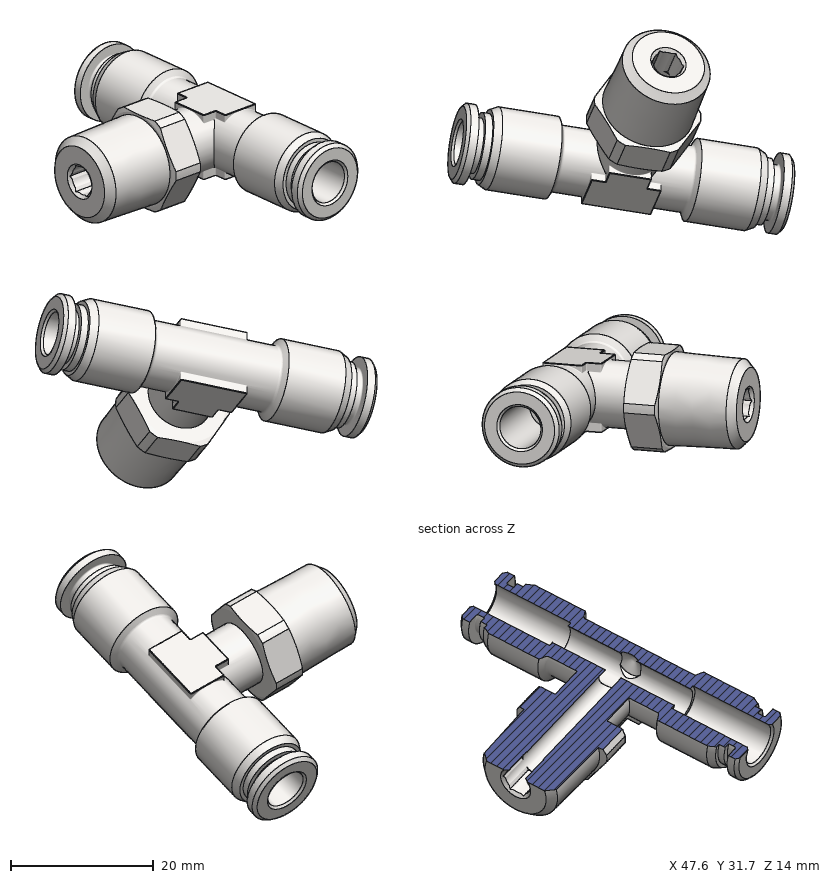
import cadquery as cq
import math


run_length = 47.6
tube_radius = 4.75
sleeve_radius = 5.9
sleeve_mouth_radius = 5.35
sleeve_root_start = 9.5
sleeve_root_fillet = 0.4
sleeve_root_full = 10.15
sleeve_mouth_full = 18.75
sleeve_mouth_end = 19.9
collar_radius = 4.75
collar_end = 20.95
neck_radius = 3.95
flange_radius = 5.7
flange_face_radius = 5.2
flange_width = 1.65
flange_chamfer = 0.48
neck_fillet = 0.25
run_bore_radius = 2.5
socket_radius = 3.05
socket_mouth_radius = 3.4
socket_mouth_depth = 0.35
socket_floor = 10.45

hex_across_flats = 14.0
hex_corner_radius = 7.7
hex_start = 9.75
hex_end = 14.7
hex_edge_chamfer = 0.2
thread_root_radius = 6.6
thread_tip_radius = 6.4
thread_face_radius = 5.25
thread_chamfer_start = 24.65
branch_end = 25.8

branch_bore_radius = 2.1
bore_mouth_radius = 2.55
bore_mouth_depth = 0.48
bore_tip_depth = 3.47
drill_half_angle = math.radians(59)
key_across_flats = 4.0
key_depth = 4.75

edge_margin = 0.05

pad_half_width = 5.05
pad_back = 2.95
pad_shoulder = -2.85
pad_stem_half_width = 3.05
pad_stem_end = -5.1
pad_top = 5.0
pad_edge_chamfer = 0.1
pad_corner_fillet = 0.15
pad_base_fillet = 0.1


def run_revolve(profile):
    """Revolve (x, radius) points about the X axis."""
    return cq.Workplane("XY").polyline(profile).close().revolve(360, (0, 0, 0), (1, 0, 0))


def branch_revolve(profile):
    """Revolve (radius, distance) points about the branch axis."""
    points = [(radius, -distance) for radius, distance in profile]
    return cq.Workplane("XY").polyline(points).close().revolve(360, (0, 0, 0), (0, 1, 0))


def branch_hexagon(across_flats, start, end):
    """Hexagonal prism on the branch axis, with flats facing up and down."""
    across_corners = across_flats / math.cos(math.pi / 6)
    plane = cq.Workplane("XZ", origin=(0, -start, 0))
    return plane.polygon(6, across_corners).extrude(end - start)


def with_mirror(half, plane):
    """Join a half with its mirror image."""
    return half.union(half.mirror(plane))


def circle_at(x, radius):
    """Selector for the circular edge of a given radius around the run axis at x."""
    reach = radius + edge_margin
    return cq.selectors.BoxSelector(
        (x - edge_margin, -reach, -reach), (x + edge_margin, reach, reach), boundingbox=True
    )


def run_arm():
    """Half of the run on the +X side: tube, sleeve, collar, neck and release flange."""
    end = run_length / 2
    flange_inner = end - flange_width
    arm = run_revolve([
        (0, 0),
        (0, tube_radius),
        (sleeve_root_start, tube_radius),
        (sleeve_root_full, sleeve_radius),
        (sleeve_mouth_full, sleeve_radius),
        (sleeve_mouth_end, sleeve_mouth_radius),
        (sleeve_mouth_end, collar_radius),
        (collar_end, collar_radius),
        (collar_end, neck_radius),
        (flange_inner, neck_radius),
        (flange_inner, flange_radius),
        (end - flange_chamfer, flange_radius),
        (end, flange_face_radius),
        (end, 0),
    ])
    arm = arm.edges(circle_at(sleeve_root_start, tube_radius)).fillet(sleeve_root_fillet)
    return arm.edges(circle_at(flange_inner, neck_radius)).fillet(neck_fillet)


def run_cavity():
    """Half of the run bore on the +X side, with its tube socket."""
    end = run_length / 2
    return run_revolve([
        (0, 0),
        (0, run_bore_radius),
        (socket_floor, run_bore_radius),
        (socket_floor, socket_radius),
        (end - socket_mouth_depth, socket_radius),
        (end, socket_mouth_radius),
        (end, 0),
    ])


def thread_body():
    """Tapered, chamfered thread body."""
    return branch_revolve([
        (0, hex_end),
        (thread_root_radius, hex_end),
        (thread_tip_radius, thread_chamfer_start),
        (thread_face_radius, branch_end),
        (0, branch_end),
    ])


def wrench_hex():
    """Wrench hexagon with turned corners and chamfered edges."""
    face_radius = hex_across_flats / 2
    turned_blank = branch_revolve([
        (0, hex_start),
        (face_radius, hex_start),
        (hex_corner_radius, hex_start + hex_edge_chamfer),
        (hex_corner_radius, hex_end - hex_edge_chamfer),
        (face_radius, hex_end),
        (0, hex_end),
    ])
    return branch_hexagon(hex_across_flats, hex_start, hex_end).intersect(turned_blank)


def branch_cavity():
    """Drilled branch bore whose conical tip passes the run bore, plus the key socket."""
    tip_length = branch_bore_radius / math.tan(drill_half_angle)
    bore = branch_revolve([
        (0, -bore_tip_depth),
        (branch_bore_radius, tip_length - bore_tip_depth),
        (branch_bore_radius, branch_end - bore_mouth_depth),
        (bore_mouth_radius, branch_end),
        (0, branch_end),
    ])
    return bore.union(branch_hexagon(key_across_flats, branch_end - key_depth, branch_end))


def label_pad():
    """T-shaped pad rising from the middle of the fitting to the upper label face."""
    return (
        cq.Workplane("XY")
        .polyline([
            (-pad_half_width, pad_back),
            (pad_half_width, pad_back),
            (pad_half_width, pad_shoulder),
            (pad_stem_half_width, pad_shoulder),
            (pad_stem_half_width, pad_stem_end),
            (-pad_stem_half_width, pad_stem_end),
            (-pad_stem_half_width, pad_shoulder),
            (-pad_half_width, pad_shoulder),
        ])
        .close()
        .extrude(pad_top)
        .edges("|Z")
        .fillet(pad_corner_fillet)
        .faces(">Z")
        .chamfer(pad_edge_chamfer)
    )


def junction():
    """Crossing tubes with a label pad above and below, filleted where the pads meet the tubes."""
    run_tube = cq.Workplane("YZ").circle(tube_radius).extrude(sleeve_root_start, both=True)
    branch_tube = cq.Workplane("XZ").circle(tube_radius).extrude(hex_end)
    tubes = run_tube.union(branch_tube)
    pad_base_edges = cq.selectors.BoxSelector(
        (-pad_half_width - edge_margin, pad_stem_end - edge_margin, pad_top / 2),
        (pad_half_width + edge_margin, pad_back + edge_margin, tube_radius + edge_margin),
        boundingbox=True,
    )
    upper_half = tubes.union(label_pad()).edges(pad_base_edges).fillet(pad_base_fillet)
    return with_mirror(upper_half, "XY")


body = junction()
body = body.union(with_mirror(run_arm(), "YZ"))
body = body.union(wrench_hex())
body = body.union(thread_body())

result = body.cut(with_mirror(run_cavity(), "YZ")).cut(branch_cavity())